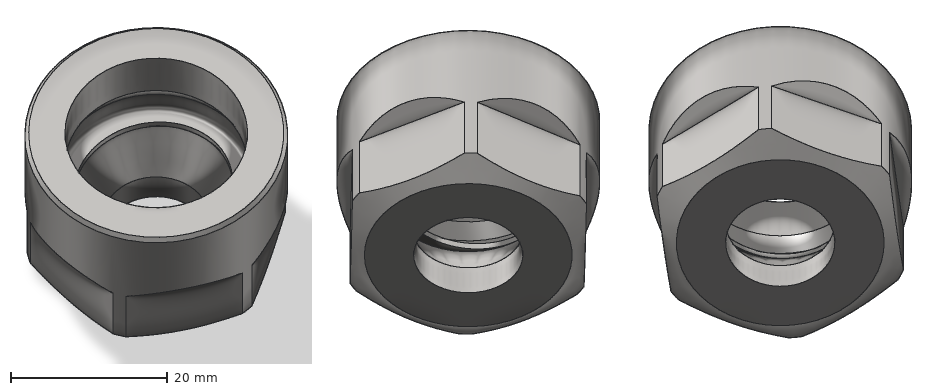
import cadquery as cq
import math

outer_radius = 16.85
height = 24.2
top_chamfer = 0.5

across_flats = 30.0
flat_top = 11.05
flat_count = 6
flat_offset = across_flats / 2
ramp_run = outer_radius - flat_offset

nose_radius = 13.3
nose_height = (outer_radius - nose_radius) * math.tan(math.radians(30))

bore_radius = 23.4 / 2
bore_depth = 7.2
relief_radius = 25.5 / 2
relief_taper_height = 2.35
relief_wall_height = 2.2
floor_fillet = 0.8
relief_top = height - bore_depth
wall_top = relief_top - relief_taper_height
floor_level = wall_top - relief_wall_height - floor_fillet

lip_offset = -0.55
lip_radius_x = 9.75
lip_radius_y = 10.55
lip_depth = 0.95
seat_top = floor_level - lip_depth

hole_radius = 14.0 / 2
seat_rim_radius = 10.6
seat_half_angle = 30
seat_height = (seat_rim_radius - hole_radius) / math.tan(math.radians(seat_half_angle))
seat_bottom = seat_top - seat_height


def revolve_about_z(profile):
    """Revolve a closed radius-height profile about the Z axis."""
    return profile.close().revolve(360, (0, 0, 0), (0, 1, 0))


def make_body():
    return revolve_about_z(
        cq.Workplane("XZ")
        .lineTo(nose_radius, 0)
        .lineTo(outer_radius, nose_height)
        .lineTo(outer_radius, height - top_chamfer)
        .lineTo(outer_radius - top_chamfer, height)
        .lineTo(0, height)
    )


def make_flat_cutter():
    """Cutter for the flat facing +Y, with a 45 degree ramp at its top."""
    reach = 2 * ramp_run
    return (
        cq.Workplane("YZ")
        .moveTo(flat_offset, -reach)
        .lineTo(flat_offset, flat_top)
        .lineTo(flat_offset + reach, flat_top + reach)
        .lineTo(flat_offset + reach, -reach)
        .close()
        .extrude(outer_radius, both=True)
    )


def make_bore():
    fillet_mid = floor_fillet * (1 - math.sqrt(0.5))
    return revolve_about_z(
        cq.Workplane("XZ")
        .moveTo(0, floor_level)
        .lineTo(relief_radius - floor_fillet, floor_level)
        .threePointArc(
            (relief_radius - fillet_mid, floor_level + fillet_mid),
            (relief_radius, floor_level + floor_fillet),
        )
        .lineTo(relief_radius, wall_top)
        .lineTo(bore_radius, relief_top)
        .lineTo(bore_radius, height)
        .lineTo(0, height)
    )


def make_lip_opening():
    return (
        cq.Workplane("XY", origin=(lip_offset, 0, seat_top))
        .ellipse(lip_radius_x, lip_radius_y)
        .extrude(lip_depth)
    )


def make_seat_and_hole():
    return revolve_about_z(
        cq.Workplane("XZ")
        .lineTo(hole_radius, 0)
        .lineTo(hole_radius, seat_bottom)
        .lineTo(seat_rim_radius, seat_top)
        .lineTo(0, seat_top)
    )


result = make_body()
flat_cutter = make_flat_cutter()
for index in range(flat_count):
    turn = index * 360 / flat_count
    result = result.cut(flat_cutter.rotate((0, 0, 0), (0, 0, 1), turn))

for cavity in (make_bore(), make_lip_opening(), make_seat_and_hole()):
    result = result.cut(cavity)